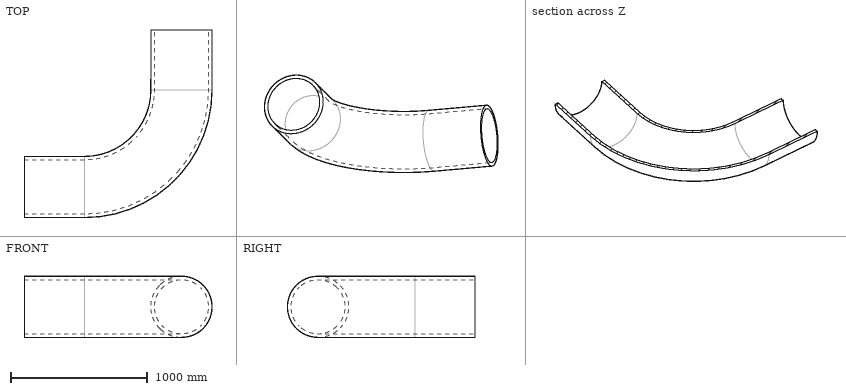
import cadquery as cq

overall_length = 1375.0
outer_diameter = 450.0
inner_diameter = 396.0
straight_length = 440.0

bend_radius = overall_length - straight_length - outer_diameter / 2
bend_angle = 90


def straight_end(plane):
    """Straight pipe length growing along the normal of the given plane."""
    return (
        cq.Workplane(plane)
        .circle(outer_diameter / 2)
        .circle(inner_diameter / 2)
        .extrude(straight_length)
    )


def bend():
    """Quarter-turn pipe from the origin, heading +X and turning towards +Y."""
    return (
        cq.Workplane("YZ")
        .circle(outer_diameter / 2)
        .circle(inner_diameter / 2)
        .revolve(bend_angle, (bend_radius, 0, 0), (bend_radius, 1, 0))
    )


inlet_plane = cq.Plane(origin=(0, 0, 0), xDir=(0, 1, 0), normal=(-1, 0, 0))
outlet_plane = cq.Plane(origin=(bend_radius, bend_radius, 0), xDir=(1, 0, 0), normal=(0, 1, 0))

result = bend().union(straight_end(inlet_plane)).union(straight_end(outlet_plane))